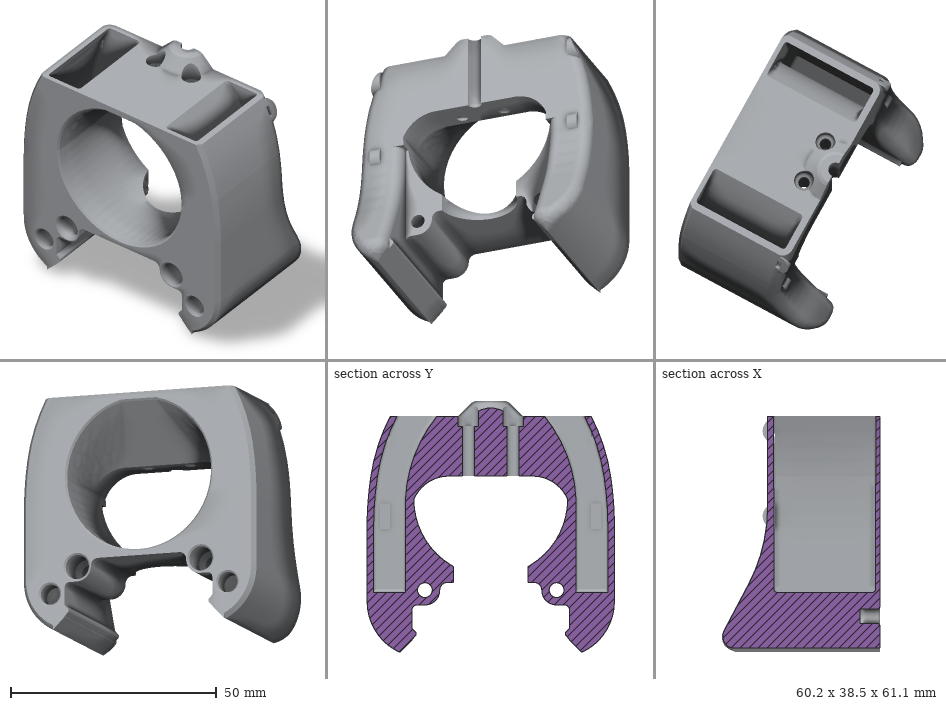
import cadquery as cq
import math

half_width = 30.1
total_depth = 38.45
total_height = 61.1
roof_z = 57.45
rear_y = 27.5

roof_half_width = 24.45
shoulder_x = 29.2
shoulder_z = 42.8
side_top_z = 30.4
side_bottom_z = 12.4
tip_x = 22.1
foot_middle = (27.9, 5.0)
foot_inner_z = 3.0
arm_inner_x = 19.1
front_chamfer_y = 1.0
front_chamfer_x = 1.2
rear_fillet = 2.45
tolerance = 0.05

sweep_start_z = 35.15
sweep_radius = 39.7
sweep_angle = math.radians(27.8)
heel_radius = 3.65

bore_z = 37.2
bore_radius = 18.65
bore_rim = 0.5
bore_flat_z = 55.3
plate_bottom_z = 17.0
arch_front_y = 18.95
arch_z = 42.8
arch_flat_half = 10.8
arch_shoulder_x = 15.75
arch_shoulder_z = 40.95
clearance_radius = 9.8
clearance_y = 25.65

cone_top_radius = 4.1
cone_bevel = 0.4
cable_hole_diameter = 3.5
roof_hole_x = 5.45
roof_hole_y = 21.75
roof_hole_diameter = 2.8
roof_recess_diameter = 4.8
roof_recess_depth = 2.45

screw_x = 16.0
screw_z = 15.15
screw_boss_radius = 3.65
screw_hole_diameter = 3.5
screw_head_diameter = 6.0
screw_head_depth = 7.35
boss_corner_radius = 1.85
boss_side_x = screw_x - screw_boss_radius
boss_rear_y = 24.45
arm_corner_radius = 1.2
block_half_width = 22.3
pin_x = 23.0
pin_z = 8.8
pin_diameter = 5.0
pin_depth = 4.9
hole_rim = 0.4
bevel_angle = 45.0
seat_taper = 44.9

duct_front_y = 1.15
duct_rear_y = 25.85
duct_inner_x = 13.1
duct_wall = 1.7
duct_inner_bulge = (18.45, 48.25)
duct_waist_x = 20.8
duct_floor_z = 14.65
duct_corner_radius = 0.75

ridge_x = 18.1
ridge_z = 4.5
ridge_round = 0.6
ridge_top_z = 5.9
ridge_rear_y = 35.4
lug_width = 2.55
lug_center_y = 25.5
lug_radius = 3.05
lug_slot_depth = 1.05
lug_slot_height = 2.6
lug_x = 24.45
upper_lug_z = 53.75
lower_lug_z = 33.05


def prism_xz(sketch, front, rear):
    """Extrude an XZ outline from Y = front to Y = rear."""
    return sketch.extrude(-(rear - front)).translate((0, front, 0))


def both_sides(solid):
    """Return a right-hand solid joined with its mirror image about X = 0."""
    return solid.union(solid.mirror("YZ"))


def cylinder_y(x, z, diameter, front, rear):
    return prism_xz(cq.Workplane("XZ").center(x, z).circle(diameter / 2), front, rear)


def cylinder_z(x, y, diameter, bottom, top):
    return cq.Workplane("XY", origin=(x, y, bottom)).circle(diameter / 2).extrude(top - bottom)


def box(x0, x1, y0, y1, z0, z1):
    return cq.Workplane("XY").box(x1 - x0, y1 - y0, z1 - z0, centered=False).translate((x0, y0, z0))


def arm_outline():
    """Front outline of the right-hand arm."""
    return (
        cq.Workplane("XZ")
        .moveTo(roof_half_width, roof_z)
        .lineTo(arm_inner_x, roof_z)
        .lineTo(arm_inner_x, foot_inner_z)
        .lineTo(tip_x, 0)
        .threePointArc(foot_middle, (half_width, side_bottom_z))
        .lineTo(half_width, side_top_z)
        .tangentArcPoint((shoulder_x, shoulder_z), relative=False)
        .tangentArcPoint((roof_half_width, roof_z), relative=False)
        .close()
    )


def arm_blank():
    """Right-hand arm with sharp edges: its outline trimmed by the swept rear profile."""
    sweep_end_y = rear_y + sweep_radius * (1 - math.cos(sweep_angle))
    sweep_end_z = sweep_start_z - sweep_radius * math.sin(sweep_angle)
    heel_y = sweep_end_y + sweep_end_z * math.tan(sweep_angle)
    depth_profile = (
        cq.Workplane("YZ")
        .lineTo(0, roof_z)
        .lineTo(rear_y, roof_z)
        .lineTo(rear_y, sweep_start_z)
        .tangentArcPoint((sweep_end_y, sweep_end_z), relative=False)
        .lineTo(heel_y, 0)
        .close()
        .extrude(half_width)
        .edges(">Y")
        .fillet(heel_radius)
    )
    return prism_xz(arm_outline(), 0, heel_y).intersect(depth_profile)


def arm():
    """Right-hand arm with rounded rear edges and a chamfered outer front edge."""
    blank = arm_blank()
    rear_edges = [
        edge
        for edge in blank.edges().vals()
        if min(edge.startPoint().y, edge.endPoint().y) > rear_y - tolerance
        and abs(edge.startPoint().z - edge.endPoint().z) > tolerance
    ]
    rounded = blank.newObject(rear_edges).fillet(rear_fillet)
    front_edges = [
        edge
        for edge in rounded.faces("<Y").edges().vals()
        if edge.Center().x > (arm_inner_x + half_width) / 2 and edge.Center().z < roof_z - tolerance
    ]
    return rounded.newObject(front_edges).chamfer(front_chamfer_y, front_chamfer_x)


def catch_ridge():
    """Small rounded ridge along the inner lower edge of the arm."""
    outline = (
        cq.Workplane("XZ")
        .moveTo(tip_x, 0)
        .lineTo(ridge_x + ridge_round / 2, ridge_z - ridge_round)
        .threePointArc((ridge_x, ridge_z), (ridge_x + ridge_round / 2, ridge_z + ridge_round))
        .lineTo(arm_inner_x, ridge_top_z)
        .lineTo(tip_x, ridge_top_z)
        .close()
    )
    return prism_xz(outline, 0, ridge_rear_y)


def center_block():
    """Front plate with its screw bosses, and the full-depth upper block."""
    boss_bottom = screw_z - screw_boss_radius
    boss_diagonal = screw_boss_radius * math.sqrt(0.5)
    outline = (
        cq.Workplane("XZ")
        .moveTo(0, plate_bottom_z)
        .lineTo(boss_side_x - boss_corner_radius, plate_bottom_z)
        .radiusArc((boss_side_x, plate_bottom_z - boss_corner_radius), boss_corner_radius)
        .threePointArc((screw_x - boss_diagonal, screw_z - boss_diagonal), (screw_x, boss_bottom))
        .lineTo(arm_inner_x - arm_corner_radius, boss_bottom)
        .radiusArc((arm_inner_x, boss_bottom - arm_corner_radius), arm_corner_radius)
        .lineTo(block_half_width, boss_bottom - arm_corner_radius)
        .lineTo(block_half_width, roof_z)
        .lineTo(0, roof_z)
        .close()
    )
    block = prism_xz(outline, 0, rear_y)
    return block.cut(box(0, half_width, boss_rear_y, rear_y, 0, sweep_start_z))


def bore_section(y, outline):
    """Closed wire in the plane Y = y: flat top, round shoulders and a round lower half."""
    flat_half, flat_z, shoulder, side_x = outline
    return (
        cq.Workplane("XZ", origin=(0, y, 0))
        .moveTo(-flat_half, flat_z)
        .lineTo(flat_half, flat_z)
        .threePointArc(shoulder, (side_x, bore_z))
        .threePointArc((0, bore_z - side_x), (-side_x, bore_z))
        .threePointArc((-shoulder[0], shoulder[1]), (-flat_half, flat_z))
        .close()
        .wire()
        .val()
    )


def crown_outline(radius):
    """Circle with its crown cut off flat."""
    flat_z = bore_flat_z + radius - bore_radius
    flat_half = math.sqrt(radius**2 - (flat_z - bore_z) ** 2)
    middle = (radius * math.sqrt(0.5), bore_z + radius * math.sqrt(0.5))
    return flat_half, flat_z, middle, radius


def bore():
    """Bore whose crown slopes down to a low arch at the rear, with a bevelled front rim."""
    front_outline = crown_outline(bore_radius)
    rim_outline = crown_outline(bore_radius + bore_rim)
    arch_outline = (arch_flat_half, arch_z, (arch_shoulder_x, arch_shoulder_z), bore_radius)
    rim = cq.Solid.makeLoft([bore_section(0, rim_outline), bore_section(bore_rim, front_outline)], True)
    front_wire = bore_section(bore_rim, front_outline)
    arch_wire = bore_section(arch_front_y, arch_outline)
    throat = cq.Solid.makeLoft([front_wire, arch_wire], True)
    passage = cq.Solid.extrudeLinear(arch_wire, [], cq.Vector(0, rear_y - arch_front_y, 0))
    return cq.Workplane(rim).union(cq.Workplane(throat)).union(cq.Workplane(passage))


def nozzle_clearance():
    """Upright round clearance through the lower wall behind the front plate."""
    return cylinder_z(0, clearance_y, 2 * clearance_radius, 0, bore_z)


def duct():
    """Right-hand air duct, following the outer wall and the bore."""
    outline = (
        cq.Workplane("XZ")
        .moveTo(duct_inner_x, roof_z)
        .threePointArc(duct_inner_bulge, (duct_waist_x, bore_z))
        .lineTo(duct_waist_x, duct_floor_z)
        .lineTo(half_width - duct_wall, duct_floor_z)
        .lineTo(half_width - duct_wall, side_top_z)
        .tangentArcPoint((shoulder_x - duct_wall, shoulder_z), relative=False)
        .tangentArcPoint((roof_half_width - duct_wall, roof_z), relative=False)
        .close()
    )
    channel = prism_xz(outline, duct_front_y, duct_rear_y)
    return channel.faces("<Y or >Y").edges("not >Z").fillet(duct_corner_radius)


def cable_lug(z):
    """Half-round lug on the rear of an arm, held within the side outline."""
    lug = cq.Workplane("YZ", origin=(lug_x, lug_center_y, z)).circle(lug_radius).extrude(lug_width)
    rear_half = box(0, half_width, lug_center_y, total_depth, 0, total_height)
    side_limit = prism_xz(arm_outline(), 0, total_depth)
    return lug.intersect(rear_half).intersect(side_limit)


def lug_slot(z):
    """Sideways slot between a lug and the arm."""
    slot_rear_y = lug_center_y + lug_slot_depth
    half_height = lug_slot_height / 2
    return box(lug_x, half_width, lug_center_y, slot_rear_y, z - half_height, z + half_height)


def cable_cone():
    """Half cone on the roof at the rear edge."""
    base_radius = cone_top_radius + total_height - roof_z
    profile = (
        cq.Workplane("XZ")
        .moveTo(0, roof_z)
        .lineTo(base_radius, roof_z)
        .lineTo(cone_top_radius + cone_bevel, total_height - cone_bevel)
        .lineTo(cone_top_radius - cone_bevel, total_height)
        .lineTo(0, total_height)
        .close()
    )
    cone = profile.revolve(360, (0, 0), (0, 1)).translate((0, rear_y, 0))
    return cone.cut(box(-half_width, half_width, rear_y, total_depth, 0, total_height))


def front_hole(x, z, hole_diameter, depth):
    """Hole from the front face with a small bevelled rim."""
    hole = cylinder_y(x, z, hole_diameter, 0, depth)
    rim = (
        cq.Workplane("XZ")
        .center(x, z)
        .circle(hole_diameter / 2 + hole_rim)
        .extrude(-hole_rim, taper=bevel_angle)
    )
    return hole.union(rim)


def screw_seat():
    """Conical seat leading from the screw head recess to the screw hole."""
    seat_depth = (screw_head_diameter - screw_hole_diameter) / 2
    return (
        cq.Workplane("XZ", origin=(0, screw_head_depth, 0))
        .center(screw_x, screw_z)
        .circle(screw_head_diameter / 2)
        .extrude(-seat_depth, taper=seat_taper)
    )


half = arm().union(catch_ridge()).union(center_block())
result = both_sides(half).union(cable_cone())
result = result.cut(bore()).cut(nozzle_clearance())
result = result.cut(both_sides(duct()))

for lug_z in (upper_lug_z, lower_lug_z):
    result = result.union(both_sides(cable_lug(lug_z)))

result = result.cut(both_sides(lug_slot(upper_lug_z)))

front_holes = (
    front_hole(screw_x, screw_z, screw_head_diameter, screw_head_depth)
    .union(screw_seat())
    .union(cylinder_y(screw_x, screw_z, screw_hole_diameter, 0, rear_y))
    .union(front_hole(pin_x, pin_z, pin_diameter, pin_depth))
)
roof_holes = cylinder_z(roof_hole_x, roof_hole_y, roof_hole_diameter, bore_z, total_height).union(
    cylinder_z(roof_hole_x, roof_hole_y, roof_recess_diameter, roof_z - roof_recess_depth, total_height)
)
result = result.cut(both_sides(front_holes)).cut(both_sides(roof_holes))
result = result.cut(cylinder_z(0, rear_y, cable_hole_diameter, bore_z, total_height))